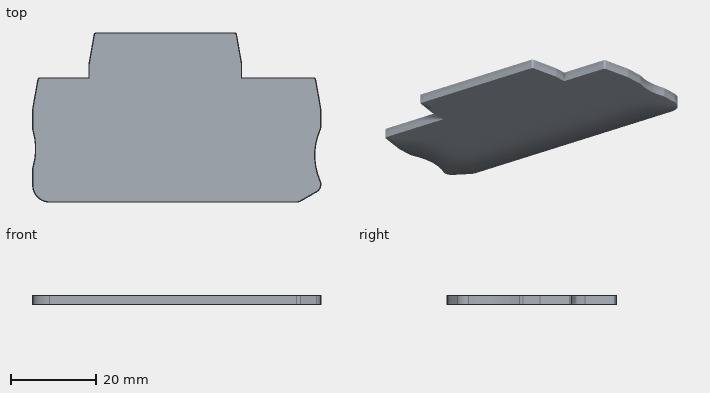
import cadquery as cq
import math

LENGTH = 67.55
WIDTH = 39.65
THICKNESS = 2.2

SHOULDER_Y = 29.1
TAB_LEFT = 13.2
TAB_RIGHT = 49.0
TAPER_HEIGHT = 7.32
TAPER_ANGLE = math.radians(10)
TAPER_INSET = TAPER_HEIGHT * math.tan(TAPER_ANGLE)
TOP_CORNER_RADIUS = 0.5

LEFT_CORNER_RADIUS = 4.0
BEVEL_X = 62.35
BEVEL_ANGLE = math.radians(30)

RECESS_RADIUS = 15.0
BLEND_RADIUS = 2.0
LEFT_RECESS_Y = 12.5
LEFT_RECESS_HALF_SPAN = 4.8
RIGHT_RECESS_HALF_SPAN = 6.8

TIP_X = LENGTH - BLEND_RADIUS
TIP_Y = (TIP_X - BEVEL_X) * math.tan(BEVEL_ANGLE) + BLEND_RADIUS / math.cos(BEVEL_ANGLE)
RIGHT_RECESS_Y = TIP_Y + RIGHT_RECESS_HALF_SPAN


def recess_tangent(half_span):
    """Inset and distance from the recess middle where recess and blend arcs meet."""
    sine = half_span / (RECESS_RADIUS + BLEND_RADIUS)
    inset = BLEND_RADIUS * (1 - math.sqrt(1 - sine**2))
    return inset, RECESS_RADIUS * sine


def draw_right_edge(path):
    """Draw from the bevel corner up to the right shoulder."""
    inset, reach = recess_tangent(RIGHT_RECESS_HALF_SPAN)
    bevel_end = (
        TIP_X + BLEND_RADIUS * math.sin(BEVEL_ANGLE),
        TIP_Y - BLEND_RADIUS * math.cos(BEVEL_ANGLE),
    )
    return (
        path.lineTo(*bevel_end)
        .tangentArcPoint((LENGTH - inset, RIGHT_RECESS_Y - reach), relative=False)
        .tangentArcPoint((LENGTH - inset, RIGHT_RECESS_Y + reach), relative=False)
        .tangentArcPoint((LENGTH, RIGHT_RECESS_Y + RIGHT_RECESS_HALF_SPAN), relative=False)
        .lineTo(LENGTH, SHOULDER_Y - TAPER_HEIGHT)
        .lineTo(LENGTH - TAPER_INSET, SHOULDER_Y)
    )


def draw_tab(path):
    """Draw the tab from the right shoulder to the left shoulder."""
    return (
        path.lineTo(TAB_RIGHT, SHOULDER_Y)
        .lineTo(TAB_RIGHT, WIDTH - TAPER_HEIGHT)
        .lineTo(TAB_RIGHT - TAPER_INSET, WIDTH)
        .lineTo(TAB_LEFT + TAPER_INSET, WIDTH)
        .lineTo(TAB_LEFT, WIDTH - TAPER_HEIGHT)
        .lineTo(TAB_LEFT, SHOULDER_Y)
        .lineTo(TAPER_INSET, SHOULDER_Y)
    )


def draw_left_edge(path):
    """Draw from the left shoulder down to the start of the rounded corner."""
    inset, reach = recess_tangent(LEFT_RECESS_HALF_SPAN)
    return (
        path.lineTo(0, SHOULDER_Y - TAPER_HEIGHT)
        .lineTo(0, LEFT_RECESS_Y + LEFT_RECESS_HALF_SPAN)
        .tangentArcPoint((inset, LEFT_RECESS_Y + reach), relative=False)
        .tangentArcPoint((inset, LEFT_RECESS_Y - reach), relative=False)
        .tangentArcPoint((0, LEFT_RECESS_Y - LEFT_RECESS_HALF_SPAN), relative=False)
        .lineTo(0, LEFT_CORNER_RADIUS)
    )


def make_plate():
    """Extrude the outline, with its remaining corners still sharp."""
    path = cq.Workplane("XY").moveTo(LEFT_CORNER_RADIUS, 0).lineTo(BEVEL_X, 0)
    path = draw_right_edge(path)
    path = draw_tab(path)
    path = draw_left_edge(path)
    path = path.tangentArcPoint((LEFT_CORNER_RADIUS, 0), relative=False)
    return path.close().extrude(THICKNESS)


def round_corner(plate, x, y, radius):
    """Round the upright edge standing at (x, y)."""
    edge_middle = (x, y, THICKNESS / 2)
    return plate.edges(cq.selectors.NearestToPointSelector(edge_middle)).fillet(radius)


result = make_plate()
result = round_corner(result, BEVEL_X, 0, BLEND_RADIUS)
for corner_x, corner_y in (
    (TAPER_INSET, SHOULDER_Y),
    (LENGTH - TAPER_INSET, SHOULDER_Y),
    (TAB_LEFT + TAPER_INSET, WIDTH),
    (TAB_RIGHT - TAPER_INSET, WIDTH),
):
    result = round_corner(result, corner_x, corner_y, TOP_CORNER_RADIUS)